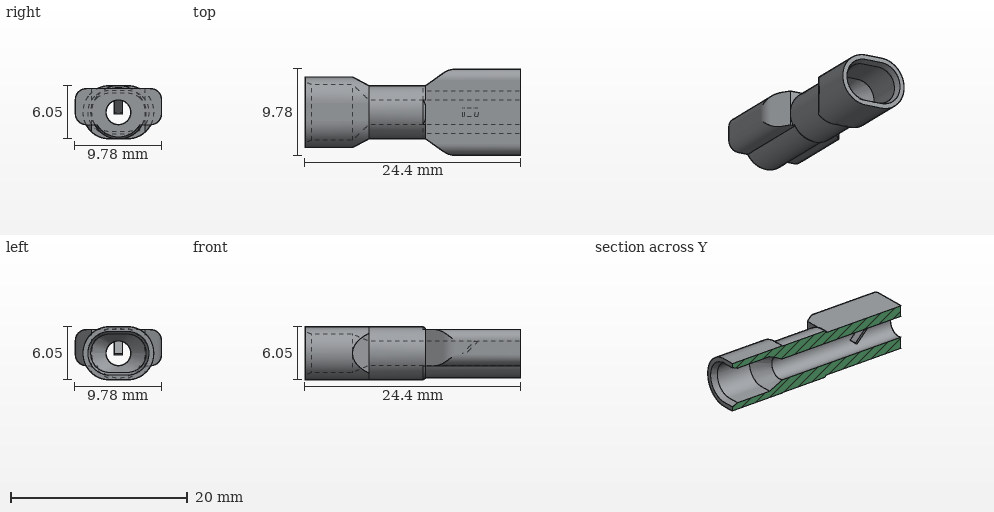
import cadquery as cq
import math

TOTAL_LENGTH = 24.38
LIP_CHAMFER_END = 0.72
TAPER_START = 5.36
TAPER_END = 7.2
NECK_CHAMFER_START = 13.34
NECK_END = 13.63

ENTRY_WIDTH = 8.0
ENTRY_HEIGHT = 6.05
ENTRY_CORNER_RADIUS = 2.99
LIP_WALL = 0.55
ENTRY_WALL = 0.86

NECK_RADIUS = ENTRY_HEIGHT / 2
BARREL_RADIUS = 2.8
BORE_RADIUS = 1.39

HOUSING_WIDTH = 9.78
HOUSING_TOP = 2.69
HOUSING_BOTTOM = -1.42
HOUSING_CORNER_RADIUS = 1.27
SHOULDER_ARC_START = 15.68
SHOULDER_ANGLE = math.radians(35.2)

FINGER_WIDTH = 0.96
FINGER_THICKNESS = 0.28
FINGER_ANGLE = math.radians(45)
FINGER_TIP_X = 18.0
FINGER_TIP_BOTTOM = -0.21
FINGER_LENGTH = 2.6


def section_at(x):
    """Workplane across the part at station x (local X is Y, local Y is Z)."""
    return cq.Workplane("YZ", origin=(x, 0, 0))


def oval(inset):
    """Entry outline shrunk by inset all round."""
    return (
        cq.Sketch()
        .rect(ENTRY_WIDTH - 2 * inset, ENTRY_HEIGHT - 2 * inset)
        .vertices()
        .fillet(ENTRY_CORNER_RADIUS - inset)
    )


def oval_prism(start, end, inset):
    return section_at(start).placeSketch(oval(inset)).extrude(end - start)


def oval_loft(start, start_inset, end, end_sketch):
    end_place = cq.Location(cq.Vector(0, 0, end - start))
    return section_at(start).placeSketch(oval(start_inset), end_sketch.moved(end_place)).loft()


def cylinder(start, end, radius):
    return section_at(start).circle(radius).extrude(end - start)


def make_entry():
    """Oval sleeve whose sides slope in to the neck diameter."""
    side_outline = (
        cq.Workplane("XY", origin=(0, 0, -NECK_RADIUS))
        .moveTo(0, -ENTRY_WIDTH / 2)
        .lineTo(TAPER_START, -ENTRY_WIDTH / 2)
        .lineTo(TAPER_END, -NECK_RADIUS)
        .lineTo(TAPER_END, NECK_RADIUS)
        .lineTo(TAPER_START, ENTRY_WIDTH / 2)
        .lineTo(0, ENTRY_WIDTH / 2)
        .close()
        .extrude(ENTRY_HEIGHT)
    )
    return oval_prism(0, TAPER_END, 0).intersect(side_outline)


def make_neck():
    """Round neck, chamfered at its end above and below the housing height."""
    chamfer_ring = (
        cq.Workplane("XY")
        .moveTo(NECK_CHAMFER_START, NECK_RADIUS)
        .lineTo(NECK_END, BARREL_RADIUS)
        .lineTo(NECK_END, NECK_RADIUS)
        .close()
        .revolve(360, (0, 0, 0), (1, 0, 0))
    )
    housing_slab = (
        section_at(NECK_CHAMFER_START)
        .center(0, (HOUSING_TOP + HOUSING_BOTTOM) / 2)
        .rect(HOUSING_WIDTH, HOUSING_TOP - HOUSING_BOTTOM)
        .extrude(NECK_END - NECK_CHAMFER_START)
    )
    return cylinder(TAPER_END, NECK_END, NECK_RADIUS).cut(chamfer_ring.cut(housing_slab))


def make_housing():
    """Rounded flat block trimmed to the shouldered plan outline."""
    height = HOUSING_TOP - HOUSING_BOTTOM
    block = (
        section_at(NECK_END)
        .center(0, (HOUSING_TOP + HOUSING_BOTTOM) / 2)
        .rect(HOUSING_WIDTH, height)
        .extrude(TOTAL_LENGTH - NECK_END)
        .edges("|X")
        .fillet(HOUSING_CORNER_RADIUS)
    )
    half_width = HOUSING_WIDTH / 2
    arc_start_y = NECK_RADIUS + (SHOULDER_ARC_START - NECK_END) * math.tan(SHOULDER_ANGLE)
    arc_radius = (half_width - arc_start_y) / (1 - math.cos(SHOULDER_ANGLE))
    arc_end = SHOULDER_ARC_START + arc_radius * math.sin(SHOULDER_ANGLE)
    plan = (
        cq.Workplane("XY", origin=(0, 0, HOUSING_BOTTOM))
        .moveTo(NECK_END, -NECK_RADIUS)
        .lineTo(NECK_END, NECK_RADIUS)
        .lineTo(SHOULDER_ARC_START, arc_start_y)
        .radiusArc((arc_end, half_width), arc_radius)
        .lineTo(TOTAL_LENGTH, half_width)
        .lineTo(TOTAL_LENGTH, -half_width)
        .lineTo(arc_end, -half_width)
        .radiusArc((SHOULDER_ARC_START, -arc_start_y), arc_radius)
        .close()
        .extrude(height)
    )
    return block.intersect(plan)


def make_barrel():
    """Half-round underside of the housing, coaxial with the neck."""
    lower_half = (
        section_at(NECK_END)
        .center(0, -BARREL_RADIUS / 2)
        .rect(2 * BARREL_RADIUS, BARREL_RADIUS)
        .extrude(TOTAL_LENGTH - NECK_END)
    )
    return cylinder(NECK_END, TOTAL_LENGTH, BARREL_RADIUS).intersect(lower_half)


def make_cavity():
    """Chamfered mouth, oval chamber, funnel and through bore."""
    mouth = oval_loft(0, LIP_WALL, LIP_CHAMFER_END, oval(ENTRY_WALL))
    chamber = oval_prism(LIP_CHAMFER_END, TAPER_START, ENTRY_WALL)
    funnel = oval_loft(TAPER_START, ENTRY_WALL, TAPER_END, cq.Sketch().circle(BORE_RADIUS))
    bore = cylinder(TAPER_END, TOTAL_LENGTH, BORE_RADIUS)
    return mouth.union(chamber).union(funnel).union(bore)


def make_finger():
    """Strip rising towards the mating end until it is buried in the bore roof."""
    run = FINGER_LENGTH * math.cos(FINGER_ANGLE)
    rise = FINGER_LENGTH * math.sin(FINGER_ANGLE)
    tip_run = FINGER_THICKNESS * math.sin(FINGER_ANGLE)
    tip_rise = FINGER_THICKNESS * math.cos(FINGER_ANGLE)
    return (
        cq.Workplane("XZ", origin=(FINGER_TIP_X, 0, FINGER_TIP_BOTTOM))
        .lineTo(run, rise)
        .lineTo(run - tip_run, rise + tip_rise)
        .lineTo(-tip_run, tip_rise)
        .close()
        .extrude(FINGER_WIDTH / 2, both=True)
    )


body = make_entry()
for section in (make_neck(), make_housing(), make_barrel()):
    body = body.union(section)

result = body.cut(make_cavity()).union(make_finger())